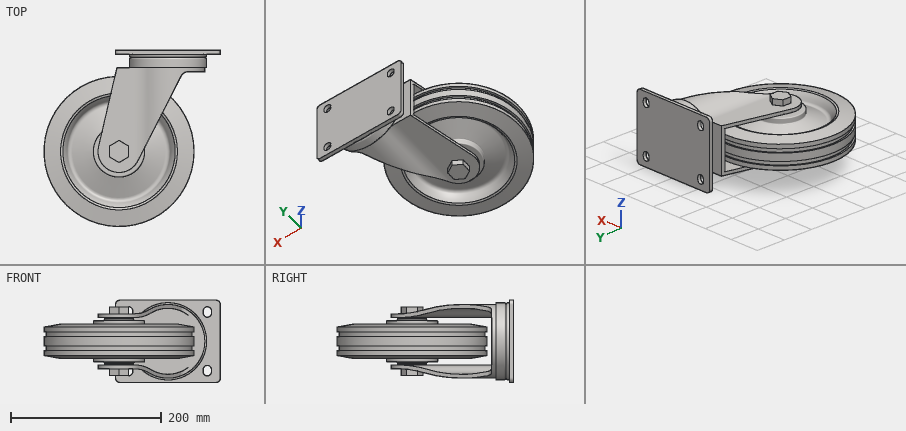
import cadquery as cq
import math


overall_length = 235.0
tyre_radius = 200.0 / 2

plate_width = 139.8
plate_height = 110.0
plate_thickness = 5.6
plate_corner_radius = 6.3
slot_width = 10.8
slot_length = 13.6
slot_spacing_x = 104.8
slot_spacing_z = 78.0
plate_top = overall_length - tyre_radius
plate_bottom = plate_top - plate_thickness
swivel_x = plate_top - plate_width / 2

bearing_radius = 51.5
fork_top = 111.6
bearing_groove_low = 122.2
bearing_groove_high = 127.8
bearing_groove_depth = 2.4

leg_inner_z = 31.5
sheet_thickness = 5.2
leg_outer_z = leg_inner_z + sheet_thickness
bulge_radius = 49.0
bend_radius = 34.8
fork_end_radius = 28.0
fork_left_x = -2.8
leg_edge_slope = math.radians(62.9)
crown_fillet = 10.5
crown_thickness = 5.6
crown_bottom = fork_top - crown_thickness

head_across_flats = 25.4
head_height = 9.2

tyre_edge_z = 19.0
tyre_side_z = 23.0
tyre_inner_radius = 77.8
tread_groove_radius = 194.3 / 2
tread_groove_near = 6.0
tread_groove_far = 12.5

rim_radius = 74.7
rim_z = 22.0
dish_wall_radius = 68.5
dish_wall_z = 11.3
dish_wall_bulge = 0.5
web_outer_radius = 62.0
web_outer_z = 8.5
web_inner_z = 18.5

hub_radius = 68.5 / 2
hub_z = 27.5
hub_round = 1.5
collar_radius = 38.0 / 2
washer_radius = 19.5
washer_low_z = 28.7
washer_high_z = 30.0


def make_plate():
    plate = (
        cq.Workplane("XY")
        .box(plate_width, plate_thickness, plate_height)
        .edges("|Y")
        .fillet(plate_corner_radius)
        .translate((swivel_x, plate_top - plate_thickness / 2, 0))
    )
    slots = (
        cq.Workplane("XZ", origin=(swivel_x, plate_top, 0))
        .rarray(slot_spacing_x, slot_spacing_z, 2, 2)
        .slot2D(slot_length, slot_width, 90)
        .extrude(plate_thickness)
    )
    return plate.cut(slots)


def make_bearing():
    """Two stacked rings whose facing edges are rounded and meet in a narrow crease."""
    half_groove = (bearing_groove_high - bearing_groove_low) / 2
    crease = (bearing_radius - bearing_groove_depth, bearing_groove_low + half_groove)
    edge_round = (half_groove**2 + bearing_groove_depth**2) / (2 * bearing_groove_depth)
    half_angle = math.asin(half_groove / edge_round) / 2
    round_mid_x = bearing_radius - edge_round * (1 - math.cos(half_angle))
    round_mid_rise = edge_round * math.sin(half_angle)
    return (
        cq.Workplane("XY")
        .moveTo(0, fork_top)
        .lineTo(bearing_radius, fork_top)
        .lineTo(bearing_radius, bearing_groove_low)
        .threePointArc((round_mid_x, bearing_groove_low + round_mid_rise), crease)
        .threePointArc(
            (round_mid_x, bearing_groove_high - round_mid_rise),
            (bearing_radius, bearing_groove_high),
        )
        .lineTo(bearing_radius, plate_bottom)
        .lineTo(0, plate_bottom)
        .close()
        .revolve(360, (0, 0, 0), (0, 1, 0))
        .translate((swivel_x, 0, 0))
    )


def fork_section(flat_z, bulge, bend, top):
    """Flat leg faces that bend outward into a round bulge about the swivel axis, below `top`."""
    bend_x = swivel_x - math.sqrt((bulge + bend) ** 2 - (flat_z + bend) ** 2)
    full_angle = math.asin((swivel_x - bend_x) / (bulge + bend))

    def on_bend(angle):
        return bend_x + bend * math.sin(angle), flat_z + bend * (1 - math.cos(angle))

    def mirrored(point):
        return point[0], -point[1]

    middle = on_bend(full_angle / 2)
    end = on_bend(full_angle)
    return (
        cq.Workplane("XZ", origin=(0, top, 0))
        .moveTo(-tyre_radius, -flat_z)
        .lineTo(-tyre_radius, flat_z)
        .lineTo(bend_x, flat_z)
        .threePointArc(middle, end)
        .threePointArc((swivel_x + bulge, 0), mirrored(end))
        .threePointArc(mirrored(middle), (bend_x, -flat_z))
        .close()
        .extrude(top + tyre_radius)
    )


def fork_outline():
    """Side shape of the fork: round lower end, two tangent edges, and the crown along the top."""
    right_tangent = (
        fork_end_radius * math.sin(leg_edge_slope),
        -fork_end_radius * math.cos(leg_edge_slope),
    )
    left_angle = math.atan2(fork_top, fork_left_x) + math.acos(
        fork_end_radius / math.hypot(fork_left_x, fork_top)
    )
    left_tangent = (fork_end_radius * math.cos(left_angle), fork_end_radius * math.sin(left_angle))
    edge_rise = crown_bottom - right_tangent[1]
    crown_corner = (right_tangent[0] + edge_rise / math.tan(leg_edge_slope), crown_bottom)
    crown_end = swivel_x + bulge_radius
    outline = (
        cq.Workplane("XY", origin=(0, 0, -bulge_radius))
        .moveTo(fork_left_x, fork_top)
        .lineTo(*left_tangent)
        .threePointArc((0, -fork_end_radius), right_tangent)
        .lineTo(*crown_corner)
        .lineTo(crown_end, crown_bottom)
        .lineTo(crown_end, fork_top)
        .close()
        .extrude(2 * bulge_radius)
    )
    corner_edge = cq.selectors.NearestToPointSelector((*crown_corner, 0))
    return outline.edges("|Z").edges(corner_edge).fillet(crown_fillet)


def make_fork():
    outside = fork_section(leg_outer_z, bulge_radius, bend_radius, fork_top)
    inside = fork_section(
        leg_inner_z,
        bulge_radius - sheet_thickness,
        bend_radius + sheet_thickness,
        crown_bottom,
    )
    return outside.cut(inside).intersect(fork_outline())


def make_bolt_head():
    across_corners = head_across_flats / math.cos(math.pi / 6)
    return (
        cq.Workplane("XY", origin=(0, 0, leg_outer_z))
        .transformed(rotate=(0, 0, 90))
        .polygon(6, across_corners)
        .extrude(head_height)
    )


def make_half_wheel():
    """Upper half of the wheel, from the mid-plane to the face of the fork leg."""
    hub_side_z = hub_z - hub_round
    round_mid = hub_round * math.sqrt(0.5)
    washer_foot_radius = washer_radius + washer_low_z - hub_z
    profile = (
        cq.Workplane("XZ")
        .moveTo(0, 0)
        .lineTo(tyre_radius, 0)
        .lineTo(tyre_radius, tread_groove_near)
        .lineTo(tread_groove_radius, tread_groove_near)
        .lineTo(tread_groove_radius, tread_groove_far)
        .lineTo(tyre_radius, tread_groove_far)
        .lineTo(tyre_radius, tyre_edge_z)
        .lineTo(tyre_inner_radius, tyre_side_z)
        .lineTo(rim_radius, rim_z)
        .sagittaArc((dish_wall_radius, dish_wall_z), -dish_wall_bulge)
        .tangentArcPoint((web_outer_radius, web_outer_z), relative=False)
        .lineTo(hub_radius + hub_round, web_inner_z)
        .threePointArc(
            (hub_radius + hub_round - round_mid, web_inner_z + hub_round - round_mid),
            (hub_radius, web_inner_z + hub_round),
        )
        .lineTo(hub_radius, hub_side_z)
        .threePointArc(
            (hub_radius - hub_round + round_mid, hub_side_z + round_mid),
            (hub_radius - hub_round, hub_z),
        )
        .lineTo(washer_foot_radius, hub_z)
        .lineTo(washer_radius, washer_low_z)
        .lineTo(washer_radius, washer_high_z)
        .lineTo(collar_radius, washer_high_z)
        .lineTo(collar_radius, leg_inner_z)
        .lineTo(0, leg_inner_z)
        .close()
    )
    return profile.revolve(360, (0, 0, 0), (0, 1, 0))


upper_half = make_half_wheel().union(make_bolt_head())
lower_half = upper_half.mirror("XY")
caster = make_fork().union(make_bearing()).union(make_plate())
result = caster.union(upper_half).union(lower_half)